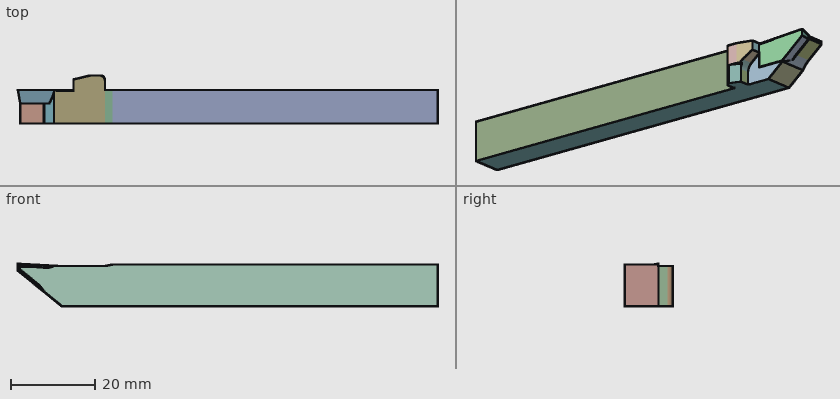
import cadquery as cq
import math

total_length = 100.0
shank_width = 8.05
shank_height = 10.0
overall_width = 11.5

body_width = 7.8
shelf_height = 9.65
shelf_end_x = 20.8
shelf_ramp_length = 1.8
rake = math.radians(39.0)
nose_x = 0.57
nose_top_z = 9.4
nose_bottom_z = 8.75
heel_x = 10.55
step_arc_top_z = 5.55
step_arc_bottom_z = 3.46

floor_drop_x = 6.1
floor_drop_z = 9.3
trough_x = 6.4
trough_z = 9.1
shelf_start_x = 8.7
floor_arc_mid_x = 7.7
floor_arc_mid_z = 9.27

insert_inner_y = 4.85
insert_top_z = 10.2
insert_face_height = 1.65
insert_fall_x = 0.055
insert_fall_y = 0.185
insert_bottom_z = 3.6

head_start_x = 13.25
head_corner_y = 10.55
head_crest_x = 17.3
head_round = 1.2
undercut_top_z = 7.3
undercut_arc_top_z = 5.25
undercut_arc_bottom_z = 3.16
flank_top_z = 4.6


def rake_run(drop):
    """Distance along X covered by a raked face that drops by the given height."""
    return drop / math.tan(rake)


def prism_along_y(outline, y_start, y_end):
    """Extrude an XZ outline from y_start to y_end."""
    return outline.extrude(-(y_end - y_start)).translate((0, y_start, 0))


def make_shank():
    ramp_end_x = shelf_end_x + shelf_ramp_length
    outline = (
        cq.Workplane("XZ")
        .moveTo(shelf_end_x, 0)
        .lineTo(total_length, 0)
        .lineTo(total_length, shank_height)
        .lineTo(ramp_end_x, shank_height)
        .lineTo(shelf_end_x, shelf_height)
        .close()
    )
    return prism_along_y(outline, 0, shank_width)


def make_body():
    arc_top_x = nose_x + rake_run(nose_bottom_z - step_arc_top_z)
    arc_bottom_x = heel_x - rake_run(step_arc_bottom_z)
    outline = (
        cq.Workplane("XZ")
        .moveTo(nose_x, nose_top_z)
        .lineTo(nose_x, nose_bottom_z)
        .lineTo(arc_top_x, step_arc_top_z)
        .tangentArcPoint((arc_bottom_x, step_arc_bottom_z), relative=False)
        .lineTo(heel_x, 0)
        .lineTo(shelf_end_x, 0)
        .lineTo(shelf_end_x, shelf_height)
        .lineTo(shelf_start_x, shelf_height)
        .threePointArc((floor_arc_mid_x, floor_arc_mid_z), (trough_x, trough_z))
        .lineTo(floor_drop_x, floor_drop_z)
        .close()
    )
    return prism_along_y(outline, 0, body_width)


def insert_section(y, front_x, top_z):
    """Closed XZ section of the insert at the given Y, as a wire."""
    bottom_z = insert_top_z - insert_face_height
    bottom_x = front_x + rake_run(bottom_z - insert_bottom_z)
    tail_z = top_z - insert_fall_x * (head_start_x - front_x)
    corners = [
        (front_x, top_z),
        (front_x, bottom_z),
        (bottom_x, insert_bottom_z),
        (head_start_x, insert_bottom_z),
        (head_start_x, tail_z),
    ]
    points = [cq.Vector(x, y, z) for x, z in corners]
    return cq.Wire.makePolygon(points, close=True)


def make_insert():
    inner_top_z = insert_top_z - insert_fall_y * (shank_width - insert_inner_y)
    inner = insert_section(insert_inner_y, nose_x, inner_top_z)
    outer = insert_section(shank_width, 0, insert_top_z)
    return cq.Workplane(cq.Solid.makeLoft([inner, outer], True))


def head_plan():
    """Head outline in plan, raised from the base to the shelf height."""
    return (
        cq.Workplane("XY")
        .moveTo(head_start_x, body_width)
        .lineTo(head_start_x, head_corner_y)
        .lineTo(head_crest_x, overall_width)
        .lineTo(shelf_end_x - head_round, overall_width)
        .radiusArc((shelf_end_x, overall_width - head_round), head_round)
        .lineTo(shelf_end_x, body_width)
        .close()
        .extrude(shelf_height)
    )


def make_head():
    arc_top_x = head_start_x + rake_run(undercut_top_z - undercut_arc_top_z)
    arc_height = undercut_arc_top_z - undercut_arc_bottom_z
    arc_radius = arc_height / math.cos(rake)
    lower_front_x = arc_top_x + arc_radius * (1 - math.sin(rake))
    undercut_outline = (
        cq.Workplane("XZ")
        .moveTo(head_start_x, 0)
        .lineTo(head_start_x, undercut_top_z)
        .lineTo(arc_top_x, undercut_arc_top_z)
        .tangentArcPoint((lower_front_x, undercut_arc_bottom_z), relative=False)
        .lineTo(lower_front_x, 0)
        .close()
    )
    undercut = prism_along_y(undercut_outline, body_width, overall_width)
    upper = head_plan().cut(undercut)
    flank_relief = (
        cq.Workplane("XY")
        .moveTo(head_start_x, head_corner_y)
        .lineTo(lower_front_x, head_corner_y)
        .lineTo(shelf_end_x - head_round, overall_width)
        .lineTo(head_start_x, overall_width)
        .close()
        .extrude(flank_top_z)
    )
    return upper.cut(flank_relief)


result = make_shank().union(make_body()).union(make_insert()).union(make_head()).clean()